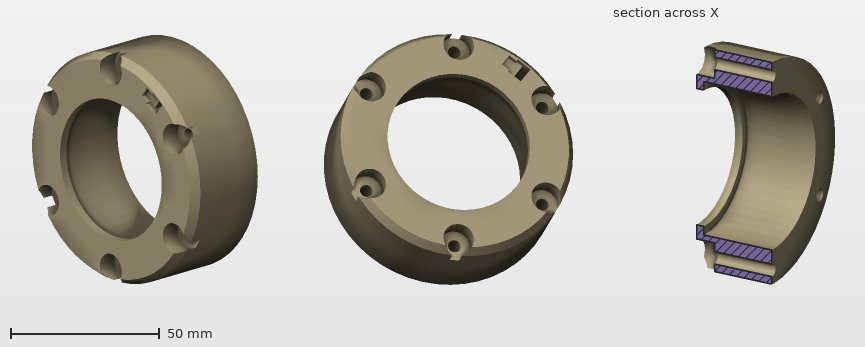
import cadquery as cq

outer_diameter = 80.0
thickness = 30.0
chamfer_radial = 2.1
chamfer_axial = 3.0

lip_diameter = 49.0
bore_diameter = 55.1
lip_depth = 3.0

screw_count = 6
screw_circle_radius = 35.0
screw_diameter = 4.3
counterbore_diameter = 10.6
counterbore_depth = 7.0

pocket_angle = 54.0
pocket_radius = 34.6
pocket_depth = 1.9
pocket_width = 5.7
pocket_start = -2.1
pocket_end = 3.4
tab_start = -5.1
tab_width = 4.2
window_start = 0.5

front_y = -thickness / 2
back_y = thickness / 2


def ring_body():
    """Revolve the ring section, including its chamfer and stepped bore."""
    outer = outer_diameter / 2
    lip = lip_diameter / 2
    bore = bore_diameter / 2
    section = (
        cq.Workplane("XY")
        .moveTo(lip, front_y)
        .lineTo(outer - chamfer_radial, front_y)
        .lineTo(outer, front_y + chamfer_axial)
        .lineTo(outer, back_y)
        .lineTo(bore, back_y)
        .lineTo(bore, front_y + lip_depth)
        .lineTo(lip, front_y + lip_depth)
        .close()
    )
    return section.revolve(360, (0, 0, 0), (0, 1, 0))


def front_cylinders(diameter, depth):
    """Cylinders at the screw positions, sunk from the front face."""
    return (
        cq.Workplane("XZ", origin=(0, front_y, 0))
        .polarArray(screw_circle_radius, 90, 360, screw_count)
        .circle(diameter / 2)
        .extrude(-depth)
    )


def pocket_block(start, end, width, depth):
    """Block sunk from the front face, spanning start to end clockwise from the pocket angle."""
    return (
        cq.Workplane("XY")
        .box(end - start, depth, width)
        .translate(((start + end) / 2, front_y + depth / 2, pocket_radius))
        .rotate((0, 0, 0), (0, 1, 0), 90 - pocket_angle)
    )


result = (
    ring_body()
    .cut(front_cylinders(screw_diameter, thickness))
    .cut(front_cylinders(counterbore_diameter, counterbore_depth))
    .cut(pocket_block(tab_start, pocket_end, tab_width, pocket_depth))
    .cut(pocket_block(pocket_start, pocket_end, pocket_width, pocket_depth))
    .cut(pocket_block(window_start, pocket_end, pocket_width, thickness))
)